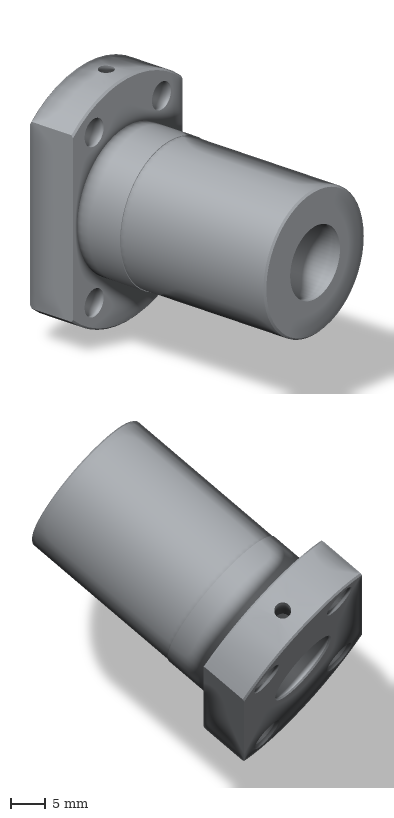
import cadquery as cq
import math

total_length = 43.0
flange_thickness = 8.0
flange_diameter = 40.0
flange_width = 26.0
flange_chamfer = 0.3

collar_diameter = 24.0
collar_end = 2 * flange_thickness
body_diameter = 23.75
body_chamfer = 0.3

bore_diameter = 11.82
bore_chamfer = 0.25

bolt_circle_radius = 16.0
bolt_angles = (60, 120, 240, 300)
bolt_hole_diameter = 4.5
bolt_hole_chamfer = 0.47

oil_hole_diameter = 2.5
oil_hole_depth = 5.6
drill_point_angle = 118


def disc(diameter, start, end):
    """Cylinder along X between two stations."""
    return cq.Workplane("YZ", origin=(start, 0, 0)).circle(diameter / 2).extrude(end - start)


def chamfered_hole(diameter, chamfer, length):
    """Cutter along X from the origin, widened by a chamfer at its entry."""
    radius = diameter / 2
    return (
        cq.Workplane("XY")
        .lineTo(0, radius + chamfer)
        .lineTo(chamfer, radius)
        .lineTo(length, radius)
        .lineTo(length, 0)
        .close()
        .revolve(360, (0, 0, 0), (1, 0, 0))
    )


def make_flange():
    """Round flange with chamfered rims, trimmed by two flats."""
    flange = disc(flange_diameter, 0, flange_thickness).edges().chamfer(flange_chamfer)
    flats = cq.Workplane("XY").box(2 * total_length, flange_width, 2 * flange_diameter)
    return flange.intersect(flats)


def make_body():
    """Collar followed by the slightly slimmer body."""
    collar = disc(collar_diameter, 0, collar_end)
    body = disc(body_diameter, 0, total_length).faces(">X").chamfer(body_chamfer)
    return collar.union(body)


def make_oil_hole():
    """Blind drilled hole with a conical bottom, entering from the top of the rim."""
    radius = oil_hole_diameter / 2
    tip_length = radius / math.tan(math.radians(drill_point_angle / 2))
    rim = flange_diameter / 2
    floor = rim - oil_hole_depth
    return (
        cq.Workplane("XZ")
        .moveTo(0, rim)
        .lineTo(radius, rim)
        .lineTo(radius, floor)
        .lineTo(0, floor - tip_length)
        .close()
        .revolve(360, (0, 0, 0), (0, 1, 0))
        .translate((flange_thickness / 2, 0, 0))
    )


result = make_flange().union(make_body())
result = result.cut(chamfered_hole(bore_diameter, bore_chamfer, total_length))

bolt_hole = chamfered_hole(bolt_hole_diameter, bolt_hole_chamfer, flange_thickness)
for angle in bolt_angles:
    y = bolt_circle_radius * math.cos(math.radians(angle))
    z = bolt_circle_radius * math.sin(math.radians(angle))
    result = result.cut(bolt_hole.translate((0, y, z)))

result = result.cut(make_oil_hole())